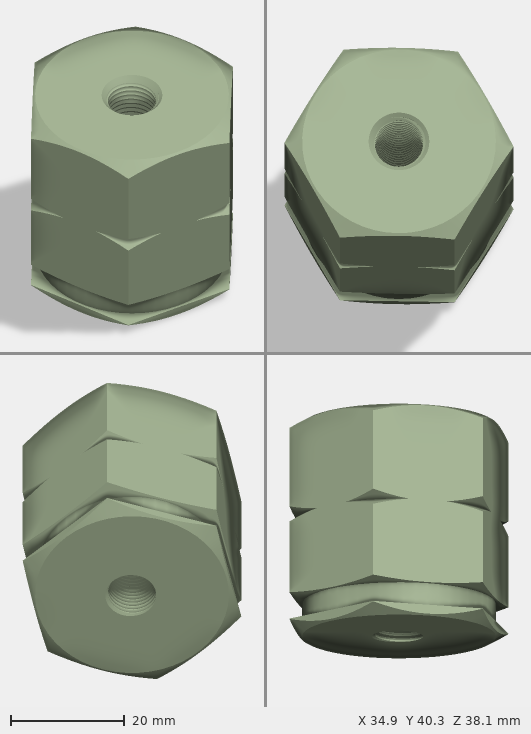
import cadquery as cq
import math

side_count = 6
half_side_angle = 180 / side_count
across_flats = 34.925
across_corners = across_flats / math.cos(math.radians(half_side_angle))
corner_radius = across_corners / 2
height = 38.1

end_face_radius = 17.05
end_chamfer_angle = 30
shoulder_chamfer_angle = 14
flange_height = 1.87
neck_height = 3.97
shoulder_z = flange_height + neck_height

groove_z = 20.78
groove_radius = 17.8
groove_flank_angle = 30

thread_major_radius = 9.525 / 2
thread_minor_radius = 8.48 / 2
thread_pitch = 25.4 / 26
thread_flank_angle = 30
thread_root_width = thread_pitch / 8
countersink_radius = 10.68 / 2
countersink_angle = 45
thread_start_angle = 270

section_count = 3
turns_per_section = 14
section_length = turns_per_section * thread_pitch

bar_allowance = 3 * thread_pitch

cutter_clearance = 0.04
envelope_clearance = 1


def rise(radial_distance, angle):
    """Height gained along a cone over a radial distance, angle taken from the horizontal."""
    return radial_distance * math.tan(math.radians(angle))


def thread_groove_section():
    """One helical length of the thread groove, starting at Z = 0."""
    inner_radius = thread_minor_radius - cutter_clearance
    root_half_width = thread_root_width / 2
    mouth_half_width = root_half_width + rise(thread_major_radius - inner_radius, thread_flank_angle)
    helix = cq.Wire.makeHelix(thread_pitch, section_length, thread_minor_radius)
    return (
        cq.Workplane("XZ")
        .moveTo(inner_radius, -mouth_half_width)
        .lineTo(thread_major_radius, -root_half_width)
        .lineTo(thread_major_radius, root_half_width)
        .lineTo(inner_radius, mouth_half_width)
        .close()
        .sweep(cq.Workplane(helix), isFrenet=True)
        .rotate((0, 0, 0), (0, 0, 1), thread_start_angle)
    )


def threaded_bar():
    """Overlong hexagonal bar with the bore and the thread already cut."""
    bar = (
        cq.Workplane("XY")
        .polygon(side_count, across_corners)
        .circle(thread_minor_radius)
        .extrude(height + 2 * bar_allowance)
        .rotate((0, 0, 0), (0, 0, 1), half_side_angle)
        .translate((0, 0, -bar_allowance))
    )
    groove_section = thread_groove_section()
    for index in range(section_count):
        section_z = index * section_length - thread_pitch
        bar = bar.cut(groove_section.translate((0, 0, section_z)))
    return bar


def outer_envelope():
    """Turned solid that carries the chamfers, groove, neck, flange and countersink."""
    envelope_radius = corner_radius + envelope_clearance
    end_rise = rise(envelope_radius - end_face_radius, end_chamfer_angle)
    shoulder_rise = rise(envelope_radius - end_face_radius, shoulder_chamfer_angle)
    groove_rise = rise(envelope_radius - groove_radius, groove_flank_angle)
    flange_radius = end_face_radius + flange_height / math.tan(math.radians(end_chamfer_angle))
    countersink_apex_depth = countersink_radius / math.tan(math.radians(countersink_angle))
    return (
        cq.Workplane("XZ")
        .moveTo(0, 0)
        .lineTo(end_face_radius, 0)
        .lineTo(flange_radius, flange_height)
        .lineTo(end_face_radius, flange_height)
        .lineTo(end_face_radius, shoulder_z)
        .lineTo(envelope_radius, shoulder_z + shoulder_rise)
        .lineTo(envelope_radius, groove_z - groove_rise)
        .lineTo(groove_radius, groove_z)
        .lineTo(envelope_radius, groove_z + groove_rise)
        .lineTo(envelope_radius, height - end_rise)
        .lineTo(end_face_radius, height)
        .lineTo(countersink_radius, height)
        .lineTo(0, height - countersink_apex_depth)
        .close()
        .revolve(360, (0, 0, 0), (0, 1, 0))
    )


result = threaded_bar().intersect(outer_envelope())